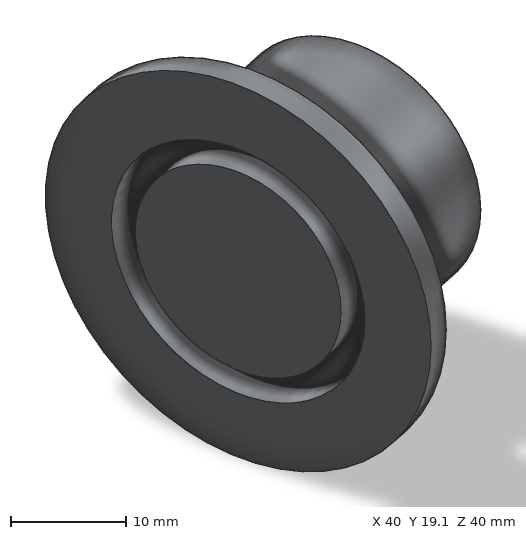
import cadquery as cq
import math

flange_radius = 20.0
stub_radius = 25.4 / 2
total_length = 19.1

rim_length = 1.95
taper_angle = math.radians(15)
rim_round = 1.45

stub_edge_round = 0.3

groove_outer_radius = 26.3 / 2
groove_inner_radius = 21.3 / 2
groove_depth = 2.6


def make_body():
    """Solid of revolution: flange, tapered back and stub."""
    arc_center = flange_radius - rim_round

    def arc_point(angle):
        return (
            arc_center + rim_round * math.cos(angle),
            rim_length + rim_round * math.sin(angle),
        )

    arc_sweep = math.pi / 2 - taper_angle
    taper_start_radius, taper_start = arc_point(arc_sweep)
    taper_end = taper_start + (taper_start_radius - stub_radius) * math.tan(taper_angle)
    stub_edge_start = total_length - stub_edge_round
    profile = (
        cq.Workplane("XY")
        .lineTo(flange_radius, 0)
        .lineTo(flange_radius, rim_length)
        .threePointArc(arc_point(arc_sweep / 2), (taper_start_radius, taper_start))
        .lineTo(stub_radius, taper_end)
        .lineTo(stub_radius, stub_edge_start)
        .radiusArc((stub_radius - stub_edge_round, total_length), -stub_edge_round)
        .lineTo(0, total_length)
        .close()
    )
    return profile.revolve(360, (0, 0, 0), (0, 1, 0))


def make_groove():
    """Ring removed from the flange face, leaving a flush central disc."""
    ring = cq.Workplane("XZ").circle(groove_outer_radius).circle(groove_inner_radius)
    return ring.extrude(-groove_depth)


result = make_body().cut(make_groove())